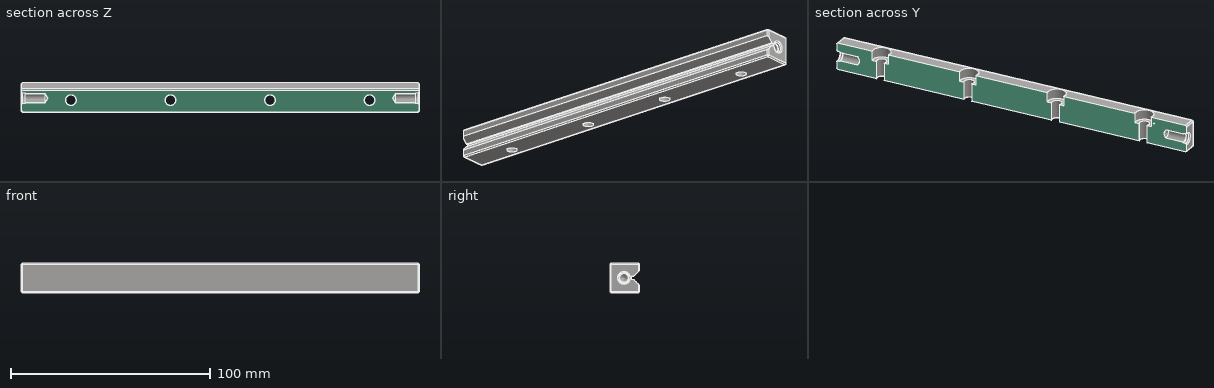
import cadquery as cq
import math

length = 200.0
width = 15.0
height = 15.0
edge_chamfer = 0.7

groove_half_opening = 3.8
relief_width = 1.5
relief_depth = 4.0

hole_count = 4
hole_pitch = length / hole_count
hole_y = -1.5
hole_diameter = 5.2
counterbore_diameter = 9.5
counterbore_depth = 5.2

end_hole_y = -0.5
end_hole_diameter = 4.5
end_hole_depth = 12.0
end_step_diameter = 5.2
end_step_depth = 2.0
end_countersink_diameter = 6.5
drill_tip_angle = 118.0


def make_body():
    """Square bar with every outer edge bevelled."""
    return cq.Workplane("XY").box(length, width, height).edges().chamfer(edge_chamfer)


def make_groove():
    """Full-length cutter: 45 degree flanks running into the relief slot."""
    face_y = width / 2
    half_relief = relief_width / 2
    slot_start_y = face_y - (groove_half_opening - half_relief)
    root_y = face_y - relief_depth
    profile = [
        (face_y, groove_half_opening),
        (slot_start_y, half_relief),
        (root_y, half_relief),
        (root_y, -half_relief),
        (slot_start_y, -half_relief),
        (face_y, -groove_half_opening),
    ]
    return cq.Workplane("YZ").polyline(profile).close().extrude(length / 2, both=True)


def cut_mounting_holes(body):
    """Row of through holes counterbored from the top face."""
    return (
        body.faces(">Z")
        .workplane(origin=(0, hole_y, height / 2))
        .rarray(hole_pitch, 2, hole_count, 1)
        .cboreHole(hole_diameter, counterbore_diameter, counterbore_depth)
    )


def make_end_hole():
    """Cutter for the -X end: 45 degree countersink, step, bore and conical drill tip."""
    bore_radius = end_hole_diameter / 2
    step_radius = end_step_diameter / 2
    sink_radius = end_countersink_diameter / 2
    sink_depth = sink_radius - step_radius
    tip_length = bore_radius / math.tan(math.radians(drill_tip_angle / 2))
    half_section = [
        (0, 0),
        (0, sink_radius),
        (sink_depth, step_radius),
        (end_step_depth, step_radius),
        (end_step_depth, bore_radius),
        (end_hole_depth, bore_radius),
        (end_hole_depth + tip_length, 0),
    ]
    cutter = cq.Workplane("XY").polyline(half_section).close().revolve(360, (0, 0), (1, 0))
    return cutter.translate((-length / 2, end_hole_y, 0))


rail = cut_mounting_holes(make_body().cut(make_groove()))
end_hole = make_end_hole()
result = rail.cut(end_hole).cut(end_hole.mirror("YZ"))